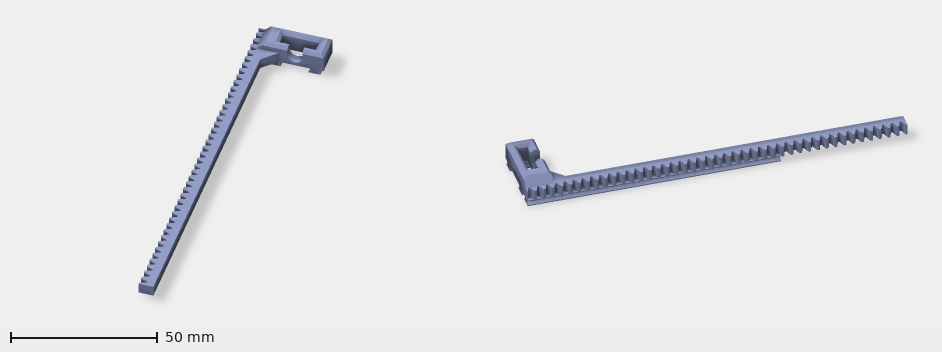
import cadquery as cq
import math

length = 135.0
width = 26.3
height = 8.9

first_gap_y = 1.8
last_gap_y = 133.8
gap_count = 43
pitch = (last_gap_y - first_gap_y) / (gap_count - 1)
addendum = pitch / math.pi
pressure_angle = math.radians(20)
tooth_depth = 2.4
rack_width = 5.3
rack_height = 4.0

rail_height = 1.9
rail_width = 4.2
neck_width = 2.0
root_width = 3.2
lip_height = 0.4
neck_z = 1.2
long_rail_length = 90.0
rack_top_z = rail_height + rack_height

block_depth = 10.0
block_front_y = length - block_depth
slope_start_x = tooth_depth
block_chamfer = 1.1
gusset_leg = 5.0

rails = [
    (rail_width / 2, long_rail_length),
    (8.9, block_depth),
    (23.1, block_depth),
]

pocket_center_x = 16.0
pocket_center_y = 130.1
pocket_length = 13.0
pocket_width = 3.6
pocket_chamfer = 1.1
chamfer_angle = 45
channel_radius = 2.7
channel_center_z = rack_top_z

overcut = 1.4


def box(x0, x1, y0, y1, z0, z1):
    return cq.Workplane("XY").box(x1 - x0, y1 - y0, z1 - z0, centered=False).translate((x0, y0, z0))


def rack_bar():
    outline = [
        (0, 0),
        (rack_width, 0),
        (rack_width, block_front_y - gusset_leg),
        (rack_width + gusset_leg, block_front_y),
        (rack_width + gusset_leg, length),
        (0, length),
    ]
    return cq.Workplane("XY", origin=(0, 0, rail_height)).polyline(outline).close().extrude(rack_height)


def tooth_gaps():
    def half_gap(depth):
        return pitch / 4 + (addendum - depth) * math.tan(pressure_angle)

    tip = half_gap(-overcut)
    root = half_gap(tooth_depth)
    gaps = cq.Workplane("XY", origin=(0, 0, rail_height))
    for i in range(gap_count):
        y = first_gap_y + i * pitch
        gaps = gaps.polyline(
            [(-overcut, y - tip), (tooth_depth, y - root), (tooth_depth, y + root), (-overcut, y + tip)]
        ).close()
    return gaps.extrude(rack_height)


def block():
    body = box(slope_start_x, width, block_front_y, length, rail_height, height)
    body = body.faces(">Z").edges("<Y or >Y or >X").chamfer(block_chamfer)
    rise = height - rack_top_z
    slope = (
        cq.Workplane("XZ", origin=(0, length, 0))
        .polyline([(slope_start_x, rack_top_z), (slope_start_x + rise, height), (slope_start_x, height)])
        .close()
        .extrude(block_depth)
    )
    return body.cut(slope)


def pocket():
    center = cq.Workplane("XY", origin=(pocket_center_x, pocket_center_y, height))
    well = center.rect(pocket_length, pocket_width).extrude(-height)
    lead_in = (
        center.rect(pocket_length + 2 * pocket_chamfer, pocket_width + 2 * pocket_chamfer)
        .extrude(-pocket_chamfer, taper=chamfer_angle)
    )
    return well.union(lead_in)


def channel():
    front_wall = pocket_center_y - block_front_y
    round_bottom = (
        cq.Workplane("XZ", origin=(pocket_center_x, pocket_center_y, channel_center_z))
        .circle(channel_radius)
        .extrude(front_wall)
    )
    open_top = box(
        pocket_center_x - channel_radius, pocket_center_x + channel_radius,
        block_front_y, pocket_center_y, channel_center_z, height,
    )
    return round_bottom.union(open_top)


def dovetail_rail(center_x, rail_length):
    lip = rail_width / 2
    neck = neck_width / 2
    root = root_width / 2
    profile = [
        (-lip, 0), (lip, 0), (lip, lip_height), (neck, neck_z), (root, rail_height),
        (-root, rail_height), (-neck, neck_z), (-lip, lip_height),
    ]
    return cq.Workplane("XZ", origin=(center_x, length, 0)).polyline(profile).close().extrude(rail_length)


result = rack_bar().cut(tooth_gaps()).union(block())
result = result.cut(pocket()).cut(channel())
for center_x, rail_length in rails:
    result = result.union(dovetail_rail(center_x, rail_length))